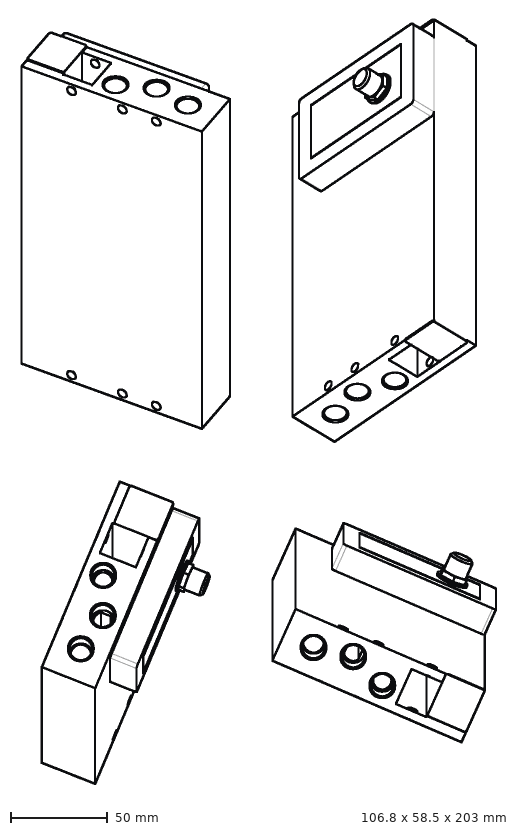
import cadquery as cq

body_width = 106.8
body_depth = 29.8
overall_height = 203.0
overall_depth = 58.5

plate_thickness = 0.8
plate_width = 22.0
plate_front = 5.7
plate_overhang = 0.5
plate_chamfer = 0.8
body_height = overall_height - 2 * plate_thickness
body_top = body_height / 2

passage_width = 17.3
passage_depth = 20.0
passage_front = 4.9

port_chamfer = 0.8
port_diameter = 11.8
port_depth = 12.2
port_bore_diameters = [9.3, 9.7, 10.5]
port_positions = [(49.5, 11.0), (69.5, 18.9), (90.1, 15.0)]
flattened_port = 1
flat_spacing = 8.1

mount_diameter = 5.0
mount_inset = 4.5
mount_columns = [29.6, 59.7, 79.8]

housing_width = 86.3
housing_depth = 14.6
housing_height = 53.8
housing_bottom = 37.4
housing_corner_radius = 2.0
housing_back = body_depth + housing_depth

label_margin = 9.1
label_thickness = 0.2

connector_x = 25.2
connector_z = 61.3
washer_diameter = 16.6
washer_thickness = 1.5
nut_sides = 6
nut_across_flats = 13.4
nut_thickness = 2.8
barrel_diameter = 12.4
barrel_chamfer = 1.2


def block(x, y, z, width, depth, height):
    """Box with its minimum corner at (x, y, z)."""
    return cq.Workplane("XY").box(width, depth, height, centered=False).translate((x, y, z))


def upright_cylinder(x, y, diameter, bottom, height):
    return cq.Workplane("XY", origin=(x, y, bottom)).circle(diameter / 2).extrude(height)


def end_plate(bottom):
    depth = body_depth + plate_overhang - plate_front
    plate = block(0, plate_front, bottom, plate_width, depth, plate_thickness)
    return plate.edges("|Z").chamfer(plate_chamfer)


def port(x, y, bore_diameter, flattened):
    """Through port with a wide chamfered mouth at both ends."""
    bore = upright_cylinder(x, y, bore_diameter, -body_top, body_height)
    if flattened:
        flats = cq.Workplane("XY").box(flat_spacing, bore_diameter, body_height)
        bore = bore.intersect(flats.translate((x, y, 0)))
    upper = upright_cylinder(x, y, port_diameter, body_top - port_depth, port_depth)
    mouth = (
        cq.Workplane("XY", origin=(x, y, body_top))
        .circle(port_diameter / 2 + port_chamfer)
        .workplane(offset=-port_chamfer)
        .circle(port_diameter / 2)
        .loft()
    )
    upper = upper.union(mouth)
    return bore.union(upper).union(upper.mirror("XY"))


def mounting_holes():
    end_offset = body_top - mount_inset
    centers = [(x, z) for x in mount_columns for z in (-end_offset, end_offset)]
    return cq.Workplane("XZ").pushPoints(centers).circle(mount_diameter / 2).extrude(-body_depth)


def housing():
    box = block(0, body_depth, housing_bottom, housing_width, housing_depth, housing_height)
    box = box.edges("|Y").fillet(housing_corner_radius)
    label = block(
        label_margin,
        housing_back,
        housing_bottom + label_margin,
        housing_width - 2 * label_margin,
        label_thickness,
        housing_height - 2 * label_margin,
    )
    return box.union(label)


def connector():
    """Washer, hexagonal nut and chamfered barrel stacked towards +Y."""
    base = cq.Workplane("XZ", origin=(connector_x, housing_back, connector_z))
    washer = base.circle(washer_diameter / 2).extrude(-washer_thickness)
    nut = (
        base.workplane(offset=-washer_thickness)
        .polygon(nut_sides, nut_across_flats, circumscribed=True)
        .extrude(-nut_thickness)
    )
    barrel = base.circle(barrel_diameter / 2).extrude(housing_back - overall_depth)
    barrel = barrel.faces(">Y").chamfer(barrel_chamfer)
    return washer.union(nut).union(barrel)


body = block(0, 0, -body_top, body_width, body_depth, body_height)
body = body.cut(
    block(plate_width, passage_front, -body_top, passage_width, passage_depth, body_height)
)
for index, (x, y) in enumerate(port_positions):
    body = body.cut(port(x, y, port_bore_diameters[index], index == flattened_port))
body = body.cut(mounting_holes())

bottom_plate = end_plate(-body_top - plate_thickness)
result = body
for piece in (end_plate(body_top), bottom_plate, housing(), connector()):
    result = result.union(piece, clean=False)